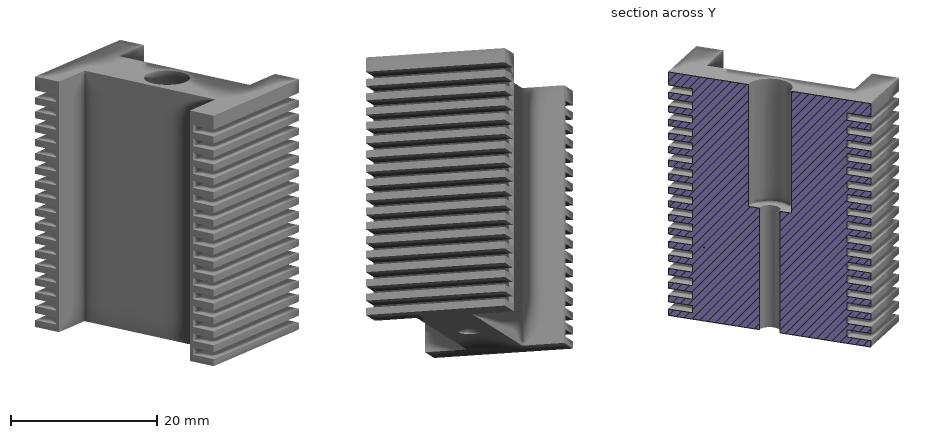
import cadquery as cq

width = 30.0
depth = 20.0
height = 36.0

flange_thickness = 4.0
web_thickness = 8.0

slot_count = 17
top_fin_layers = 2
layer_count = 2 * slot_count + top_fin_layers
layer_height = height / layer_count
slot_pitch = 2 * layer_height
slot_depth = 3.5

hole_diameter = 3.0
counterbore_diameter = 6.3
counterbore_depth = height / 2


def make_body():
    """H profile: two flanges joined by a central web, standing on Z = 0."""
    web = cq.Workplane("XY").box(width, web_thickness, height, centered=(True, True, False))
    flange_offset = (width - flange_thickness) / 2
    flanges = (
        cq.Workplane("XY")
        .pushPoints([(-flange_offset, 0), (flange_offset, 0)])
        .rect(flange_thickness, depth)
        .extrude(height)
    )
    return web.union(flanges)


def make_slots():
    """Slots cut into the outer face of both flanges, across their full depth."""
    slot_x = (width - slot_depth) / 2
    first_slot_z = layer_height + layer_height / 2
    centers = [
        (side * slot_x, first_slot_z + i * slot_pitch)
        for side in (-1, 1)
        for i in range(slot_count)
    ]
    return (
        cq.Workplane("XZ")
        .pushPoints(centers)
        .rect(slot_depth, layer_height)
        .extrude(depth / 2, both=True)
    )


def cut_screw_hole(body):
    """Through hole in the middle of the web, counterbored from the top."""
    return (
        body.faces(">Z")
        .workplane(origin=(0, 0, height))
        .cboreHole(hole_diameter, counterbore_diameter, counterbore_depth)
    )


result = cut_screw_hole(make_body()).cut(make_slots())